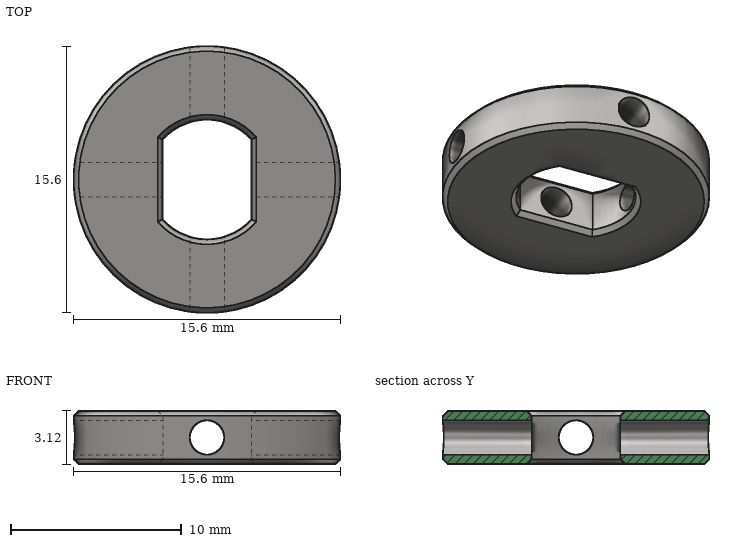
import cadquery as cq

outer_diameter = 15.62
thickness = 3.12
edge_chamfer = 0.3

bore_diameter = 7.0
bore_across_flats = 5.19

cross_hole_diameter = 2.0


def make_bore():
    """Double-D cutter as long as the disc is thick."""
    round_bore = cq.Workplane("XY").cylinder(thickness, bore_diameter / 2)
    flats = cq.Workplane("XY").box(bore_across_flats, bore_diameter, thickness)
    return round_bore.intersect(flats)


def make_collar():
    """Disc with the double-D bore, chamfered all round on both faces."""
    disc = cq.Workplane("XY").cylinder(thickness, outer_diameter / 2)
    return disc.cut(make_bore()).faces("|Z").edges().chamfer(edge_chamfer)


def make_cross_hole(plane):
    """Cutter that crosses the whole disc, normal to the given plane."""
    return cq.Workplane(plane).cylinder(outer_diameter, cross_hole_diameter / 2)


result = make_collar()
for hole_plane in ("XZ", "YZ"):
    result = result.cut(make_cross_hole(hole_plane))